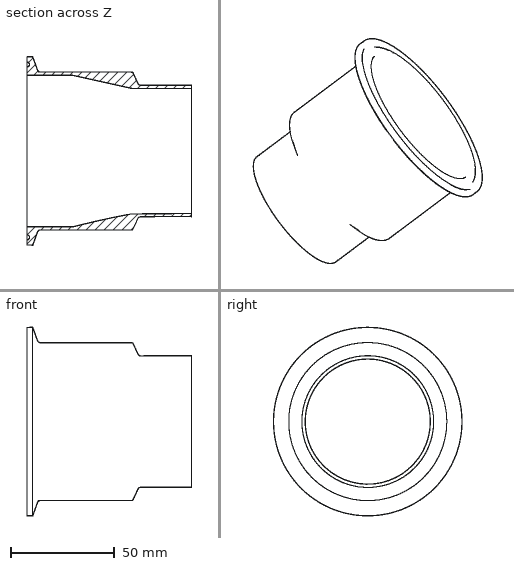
import cadquery as cq
import math

length = 79.38
flange_radius = 90.91 / 2
rim_thickness = 2.85
flange_slope = math.radians(20)
flange_fillet = 1.1
rim_edge_fillet = 0.3

large_radius = 76.2 / 2
large_bore_radius = 72.9 / 2
small_radius = 63.5 / 2
small_bore_radius = 60.2 / 2

shoulder_start = 51.0
shoulder_slope = math.radians(25)
shoulder_fillet = 1.1

bore_cone_start = 22.1
bore_cone_end = 50.7
bore_cone_fillet = 6.35
mouth_fillet = 0.4

groove_mean_radius = 41.72
groove_half_width = 1.7
groove_arc_radius = 1.2
groove_lip_radius = 0.6


def revolve_about_x(profile):
    """Revolve a profile drawn in XY (Y is the radius) a full turn about X."""
    return profile.close().revolve(360, (0, 0, 0), (1, 0, 0))


def circles_at(body, radius, x_min, x_max):
    """Circular edges of the given radius whose centre lies between two X positions."""
    tolerance = 0.01
    return [
        edge for edge in body.edges("%CIRCLE").vals()
        if abs(edge.radius() - radius) < tolerance and x_min < edge.Center().x < x_max
    ]


def make_outer_body():
    flange_foot = rim_thickness + (flange_radius - large_radius) * math.tan(flange_slope)
    shoulder_end = shoulder_start + (large_radius - small_radius) * math.tan(shoulder_slope)
    profile = (
        cq.Workplane("XY")
        .moveTo(0, 0)
        .lineTo(0, flange_radius)
        .lineTo(rim_thickness, flange_radius)
        .lineTo(flange_foot, large_radius)
        .lineTo(shoulder_start, large_radius)
        .lineTo(shoulder_end, small_radius)
        .lineTo(length, small_radius)
        .lineTo(length, 0)
    )
    body = revolve_about_x(profile)
    rim_edges = circles_at(body, flange_radius, -rim_thickness, 2 * rim_thickness)
    body = body.newObject(rim_edges).fillet(rim_edge_fillet)
    foot_edge = circles_at(body, large_radius, 0, shoulder_start / 2)
    body = body.newObject(foot_edge).fillet(flange_fillet)
    shoulder_edges = circles_at(body, large_radius, shoulder_start / 2, length)
    shoulder_edges += circles_at(body, small_radius, 0, (shoulder_end + length) / 2)
    return body.newObject(shoulder_edges).fillet(shoulder_fillet)


def make_bore():
    profile = (
        cq.Workplane("XY")
        .moveTo(0, 0)
        .lineTo(0, large_bore_radius)
        .lineTo(bore_cone_start, large_bore_radius)
        .lineTo(bore_cone_end, small_bore_radius)
        .lineTo(length, small_bore_radius)
        .lineTo(length, 0)
    )
    bore = revolve_about_x(profile)
    cone_edges = circles_at(bore, large_bore_radius, bore_cone_start / 2, length)
    cone_edges += circles_at(bore, small_bore_radius, 0, (bore_cone_end + length) / 2)
    return bore.newObject(cone_edges).fillet(bore_cone_fillet)


def make_gasket_groove():
    """Round-bottomed ring groove whose lips roll smoothly into the flange face."""
    radius_sum = groove_arc_radius + groove_lip_radius
    wall_angle = math.asin(groove_half_width / radius_sum)
    depth = radius_sum * (1 - math.cos(wall_angle))

    wall_x = groove_lip_radius * (1 - math.cos(wall_angle))
    wall_offset = groove_arc_radius * math.sin(wall_angle)
    lip_x = groove_lip_radius * (1 - math.cos(wall_angle / 2))
    lip_offset = groove_half_width - groove_lip_radius * math.sin(wall_angle / 2)

    profile = (
        cq.Workplane("XY")
        .moveTo(0, groove_mean_radius - groove_half_width)
        .threePointArc(
            (lip_x, groove_mean_radius - lip_offset),
            (wall_x, groove_mean_radius - wall_offset),
        )
        .threePointArc(
            (depth, groove_mean_radius),
            (wall_x, groove_mean_radius + wall_offset),
        )
        .threePointArc(
            (lip_x, groove_mean_radius + lip_offset),
            (0, groove_mean_radius + groove_half_width),
        )
    )
    return revolve_about_x(profile)


def round_mouth(body):
    """Round the edge where the large bore opens into the flange face."""
    mouth_edge = circles_at(body, large_bore_radius, -mouth_fillet, mouth_fillet)
    return body.newObject(mouth_edge).fillet(mouth_fillet)


tube = round_mouth(make_outer_body().cut(make_bore()))
result = tube.cut(make_gasket_groove())